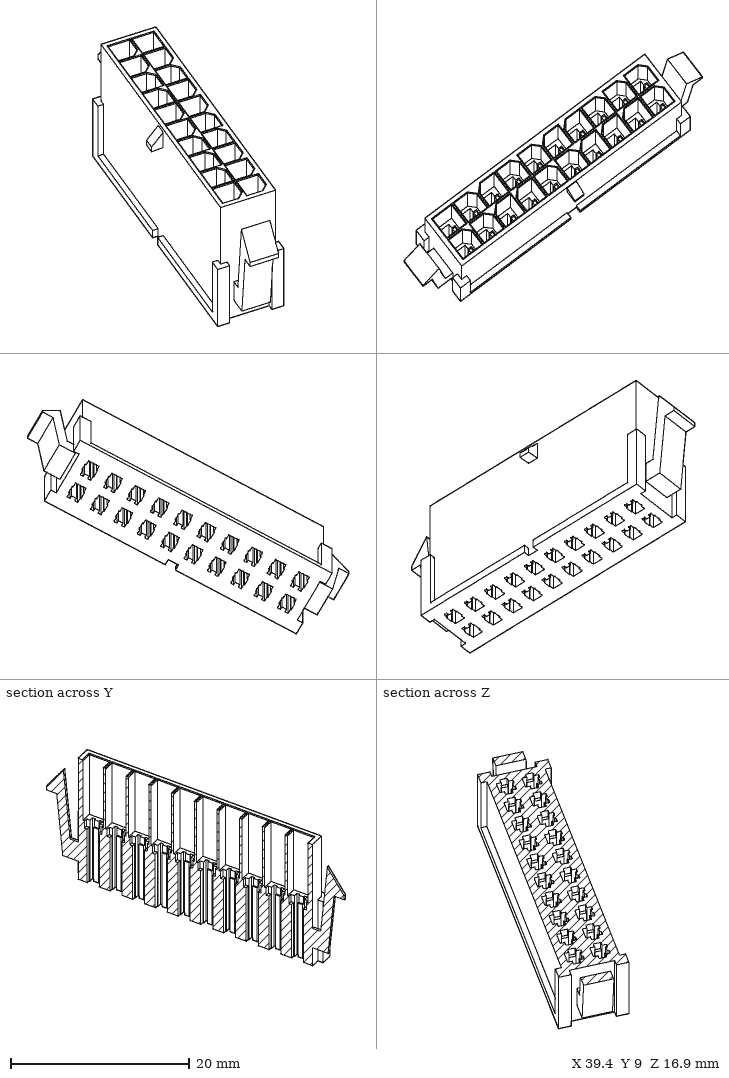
import cadquery as cq
import math

BODY_X = 30.95
BODY_Y = 6.85
HEIGHT = 16.9

FRAME_STEP = 0.7
POST_X = 2 * FRAME_STEP
POST_Y = 1.5
POST_HEIGHT = 8.5
RAIL_HEIGHT = 1.1
RAIL_GAP = 1.3
FRAME_X = BODY_X + 2 * FRAME_STEP
FRAME_Y = BODY_Y + 2 * FRAME_STEP

CATCH_WIDTH = 1.3
CATCH_DEPTH = 1.45
CATCH_TOP = 16.45
CATCH_NOSE_TOP = 14.8
CATCH_ROOT_BOTTOM = 14.2
CATCH_NOSE_BOTTOM = 14.1

OVERALL_X = 39.35
ARM_WIDTH = 3.55
ARM_BOTTOM = 2.5
ARM_ROOT_TOP = 5.25
ARM_TOP = 14.55
ARM_LEAN = 0.096
ARM_OUTER_X = 17.55
ARM_INNER_X = 16.52
HOOK_BOTTOM = 10.8
HOOK_NOSE_TOP = 11.4

PITCH = 3.0
MOUTH_SIZE = 2.85
LEAD_IN = 0.1
CAVITY_SIZE = MOUTH_SIZE - 2 * LEAD_IN
CAVITY_FLOOR = 8.5
KEY_CHAMFER = 0.8
BACK_ROW_KEYS = "-RLRRLLRRR"
FRONT_ROW_KEYS = "RRLLRRLLLR"

SLOT_X = 1.34
SLOT_Y = 1.9
WAIST_X = 1.55
WAIST_Y = 0.83
RECESS_X = 2.25
RECESS_DEPTH = 1.0
TONGUE_WIDTH = 0.6
TONGUE_LENGTH = 0.34
TONGUE_UPPER_LENGTH = 0.19
TONGUE_STEP_DEPTH = 1.0


def block(size_x, size_y, bottom, top, x=0.0, y=0.0):
    """Upright box centred on (x, y) between two heights."""
    box = cq.Workplane("XY").box(size_x, size_y, top - bottom, centered=(True, True, False))
    return box.translate((x, y, bottom))


def make_frame():
    """Four corner posts joined by a low rail along the front and the back."""
    post_x = (FRAME_X - POST_X) / 2
    post_y = (FRAME_Y - POST_Y) / 2
    front_gap = block(RAIL_GAP, FRAME_STEP, 0, RAIL_HEIGHT, y=-(BODY_Y + FRAME_STEP) / 2)
    frame = block(FRAME_X - POST_X, FRAME_Y, 0, RAIL_HEIGHT).cut(front_gap)
    for x in (-post_x, post_x):
        for y in (-post_y, post_y):
            frame = frame.union(block(POST_X, POST_Y, 0, POST_HEIGHT, x, y))
    return frame


def make_catch():
    """Wedge on the front face with its ramp facing up."""
    face_y = -BODY_Y / 2
    nose_y = face_y - CATCH_DEPTH
    profile = [
        (face_y, CATCH_TOP),
        (nose_y, CATCH_NOSE_TOP),
        (nose_y, CATCH_NOSE_BOTTOM),
        (face_y, CATCH_ROOT_BOTTOM),
    ]
    return cq.Workplane("YZ").polyline(profile).close().extrude(CATCH_WIDTH / 2, both=True)


def make_latch_arm():
    """Leaning hook on the +X end, bridged to the body near its foot."""
    body_end = BODY_X / 2
    nose_x = OVERALL_X / 2
    hook_root_x = ARM_OUTER_X + ARM_LEAN * (HOOK_BOTTOM - ARM_BOTTOM)
    tip_x = ARM_INNER_X + ARM_LEAN * (ARM_TOP - ARM_ROOT_TOP)
    profile = [
        (body_end, ARM_BOTTOM),
        (ARM_OUTER_X, ARM_BOTTOM),
        (hook_root_x, HOOK_BOTTOM),
        (nose_x, HOOK_BOTTOM),
        (nose_x, HOOK_NOSE_TOP),
        (tip_x, ARM_TOP),
        (ARM_INNER_X, ARM_ROOT_TOP),
        (body_end, ARM_ROOT_TOP),
    ]
    return cq.Workplane("XZ").polyline(profile).close().extrude(ARM_WIDTH / 2, both=True)


def keyed_outline(size, chamfer, key):
    """Corner points of a square whose keyed +Y corner is cut off at 45 degrees."""
    half = size / 2
    side = -1 if key == "L" else 1
    square = [(side * half, -half), (-side * half, -half), (-side * half, half)]
    if key == "-":
        return square + [(side * half, half)]
    return square + [(side * (half - chamfer), half), (side * half, half - chamfer)]


def make_cavity(key):
    """Solid of one cavity on the Z axis, widening at the mouth through the lead-in."""
    inner_chamfer = KEY_CHAMFER - LEAD_IN * (2 - math.sqrt(2))
    inner = keyed_outline(CAVITY_SIZE, inner_chamfer, key)
    mouth = keyed_outline(MOUTH_SIZE, KEY_CHAMFER, key)
    lead_in_bottom = HEIGHT - LEAD_IN
    shaft = cq.Workplane("XY", origin=(0, 0, CAVITY_FLOOR)).polyline(inner).close()
    shaft = shaft.extrude(lead_in_bottom - CAVITY_FLOOR)
    lead_in = cq.Workplane("XY", origin=(0, 0, lead_in_bottom)).polyline(inner).close()
    lead_in = lead_in.workplane(offset=LEAD_IN).polyline(mouth).close().loft(ruled=True)
    return shaft.union(lead_in)


def make_passage():
    """Solid of the terminal passage below a cavity, leaving a stepped tongue at -Y."""
    slot = block(SLOT_X, SLOT_Y, 0, CAVITY_FLOOR)
    waist = block(WAIST_X, WAIST_Y, 0, CAVITY_FLOOR)
    recess = block(RECESS_X, WAIST_Y, CAVITY_FLOOR - RECESS_DEPTH, CAVITY_FLOOR)
    step = CAVITY_FLOOR - TONGUE_STEP_DEPTH
    root_y = -SLOT_Y / 2
    lower_y = root_y + TONGUE_LENGTH / 2
    upper_y = root_y + TONGUE_UPPER_LENGTH / 2
    lower = block(TONGUE_WIDTH, TONGUE_LENGTH, 0, step, y=lower_y)
    upper = block(TONGUE_WIDTH, TONGUE_UPPER_LENGTH, step, CAVITY_FLOOR, y=upper_y)
    return slot.union(waist).union(recess).cut(lower).cut(upper)


def make_contact_openings():
    """All cavities with their passages, laid out on the contact grid."""
    passage = make_passage()
    openings = cq.Workplane("XY")
    for y, row_keys in ((PITCH / 2, BACK_ROW_KEYS), (-PITCH / 2, FRONT_ROW_KEYS)):
        first_x = -PITCH * (len(row_keys) - 1) / 2
        for column, key in enumerate(row_keys):
            opening = make_cavity(key).union(passage)
            openings = openings.add(opening.translate((first_x + column * PITCH, y, 0)))
    return openings


latch_arm = make_latch_arm()
housing = block(BODY_X, BODY_Y, 0, HEIGHT).union(make_frame()).union(make_catch())
housing = housing.union(latch_arm).union(latch_arm.mirror("YZ"))
openings = make_contact_openings()
result = housing.newObject([housing.val().cut(*openings.vals())])